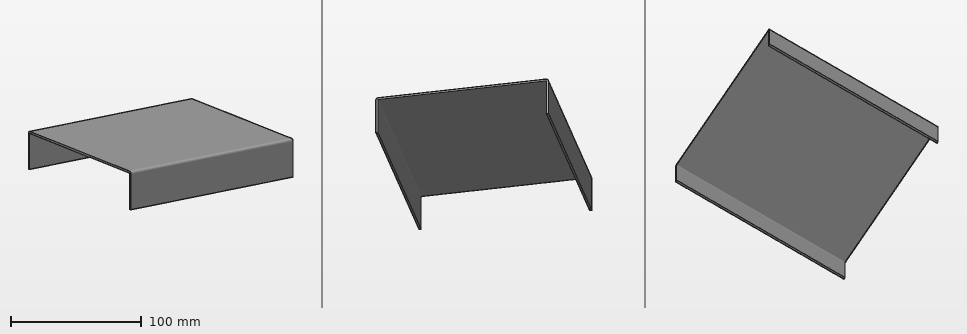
import cadquery as cq

width = 135.3
length = 152.4
height = 30.5

thickness = 1.7
outer_bend_radius = 2.1
inner_bend_radius = outer_bend_radius - thickness


def channel_blank(blank_width, blank_height, bend_radius):
    """Block standing on Z = 0 with its two long top edges rounded."""
    block = cq.Workplane("XY").box(blank_width, length, blank_height, centered=(True, True, False))
    return block.edges("|Y and >Z").fillet(bend_radius)


outer = channel_blank(width, height, outer_bend_radius)
inner = channel_blank(width - 2 * thickness, height - thickness, inner_bend_radius)

result = outer.cut(inner)